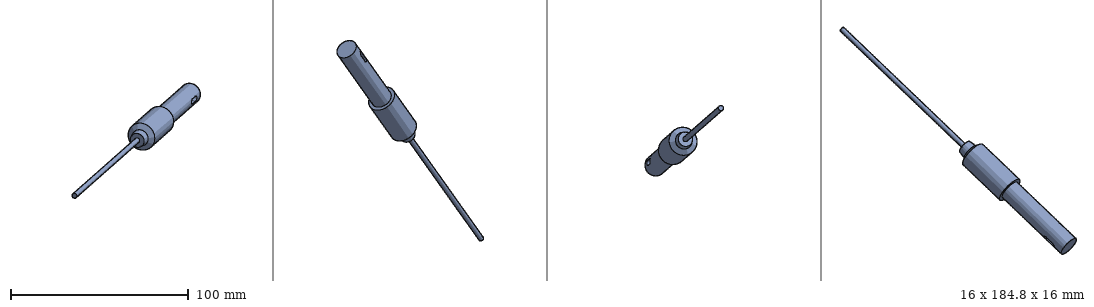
import cadquery as cq

total_length = 184.8
handle_length = 48.0
body_length = 30.1
shoulder_length = 2.0
nose_length = 4.6

handle_diameter = 12.0
body_diameter = 16.0
nose_base_diameter = 9.6
nose_tip_diameter = 8.3
rod_diameter = 3.0

slot_length = 8.3
slot_width = 3.0
slot_end_gap = 5.7

handle_end = total_length / 2
rod_tip = -total_length / 2
body_back = handle_end - handle_length
body_front = body_back - body_length
nose_base = body_front - shoulder_length
nose_tip = nose_base - nose_length


def make_turned_body():
    """Revolve the stepped half outline about the Y axis."""
    outline = (
        cq.Workplane("XY")
        .moveTo(0, rod_tip)
        .lineTo(rod_diameter / 2, rod_tip)
        .lineTo(rod_diameter / 2, nose_tip)
        .lineTo(nose_tip_diameter / 2, nose_tip)
        .lineTo(nose_base_diameter / 2, nose_base)
        .lineTo(body_diameter / 2, body_front)
        .lineTo(body_diameter / 2, body_back)
        .lineTo(handle_diameter / 2, body_back)
        .lineTo(handle_diameter / 2, handle_end)
        .lineTo(0, handle_end)
        .close()
    )
    return outline.revolve(360, (0, 0), (0, 1))


def make_slot_cutter():
    """Round-ended slot running along Y and passing right through in X."""
    slot_centre = handle_end - slot_end_gap - slot_length / 2
    return (
        cq.Workplane("YZ")
        .center(slot_centre, 0)
        .slot2D(slot_length, slot_width)
        .extrude(handle_diameter, both=True)
    )


result = make_turned_body().cut(make_slot_cutter())